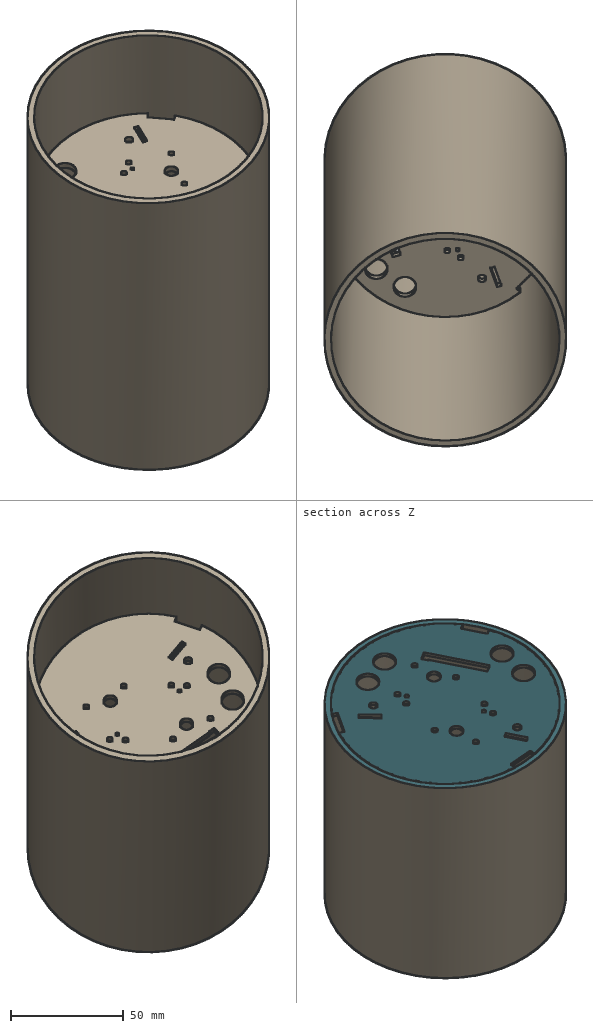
import cadquery as cq

TUBE_HEIGHT = 170.0
TUBE_DIAMETER = 108.0
BORE_DIAMETER = 102.0

PLATE_DEPTH = 49.6
PLATE_THICKNESS = 3.0
PLATE_TOP = TUBE_HEIGHT - PLATE_DEPTH
PLATE_BOTTOM = PLATE_TOP - PLATE_THICKNESS

NOTCH_COUNT = 3
NOTCH_WIDTH = 12.0
NOTCH_INNER_RADIUS = 48.1
FIRST_NOTCH_ANGLE = 30.0

PILOT_DIAMETER = 1.6
PILOT_OFFSET = 17.8
PILOT_CENTERS = [(-PILOT_OFFSET, 0), (PILOT_OFFSET, 0)]

SCREW_DIAMETER = 2.5
OUTER_SCREW_X = 22.1
INNER_SCREW_X = 16.8
INNER_SCREW_Y = 4.6
AXIS_SCREW_Y = 17.5
CORNER_SCREW_OFFSET = 19.7
SCREW_CENTERS = [
    (-OUTER_SCREW_X, 0),
    (OUTER_SCREW_X, 0),
    (-INNER_SCREW_X, -INNER_SCREW_Y),
    (INNER_SCREW_X, INNER_SCREW_Y),
    (0, -AXIS_SCREW_Y),
    (0, AXIS_SCREW_Y),
    (-CORNER_SCREW_OFFSET, CORNER_SCREW_OFFSET),
    (CORNER_SCREW_OFFSET, -CORNER_SCREW_OFFSET),
]

PEG_DIAMETER = 3.5
PEG_CENTERS = [(-35.0, 5.8), (30.6, 9.7)]

WIRE_DIAMETER = 6.0
WIRE_X = 9.5
WIRE_Y = 15.3
WIRE_CENTERS = [(-WIRE_X, WIRE_Y), (WIRE_X, -WIRE_Y)]

PORT_DIAMETER = 10.0
PORT_CENTERS = [(37.0, -4.0), (33.3, -18.5), (-28.4, -28.2), (-15.8, -37.5)]

SLOT_LENGTH = 10.0
SLOT_WIDTH = 2.0
LEFT_SLOT_CENTER = (-36.2, 11.9)
RIGHT_SLOT_CENTER = (30.1, 16.8)
RIGHT_SLOT_ANGLE = 15.0

WINDOW_LEFT = -12.4
WINDOW_RIGHT = 17.8
WINDOW_BOTTOM = -28.7
WINDOW_TOP = -25.0
WINDOW_STEP_LENGTH = 3.0
WINDOW_STEP_HEIGHT = 0.3


def make_tube():
    return (
        cq.Workplane("XY")
        .circle(TUBE_DIAMETER / 2)
        .circle(BORE_DIAMETER / 2)
        .extrude(TUBE_HEIGHT)
    )


def plate_sketch_plane():
    return cq.Workplane("XY", origin=(0, 0, PLATE_BOTTOM))


def hole_cutters(diameter, centers):
    return plate_sketch_plane().pushPoints(centers).circle(diameter / 2).extrude(PLATE_THICKNESS)


def slot_cutter(center, angle):
    return (
        plate_sketch_plane()
        .center(*center)
        .transformed(rotate=(0, 0, angle))
        .rect(SLOT_LENGTH, SLOT_WIDTH)
        .extrude(PLATE_THICKNESS)
    )


def notch_cutter(angle):
    reach = TUBE_DIAMETER / 2 - NOTCH_INNER_RADIUS
    return (
        plate_sketch_plane()
        .transformed(rotate=(0, 0, angle))
        .center(NOTCH_INNER_RADIUS + reach / 2, 0)
        .rect(reach, NOTCH_WIDTH)
        .extrude(PLATE_THICKNESS)
    )


def window_cutter():
    step_left = WINDOW_RIGHT - WINDOW_STEP_LENGTH
    step_top = WINDOW_TOP + WINDOW_STEP_HEIGHT
    outline = [
        (WINDOW_LEFT, WINDOW_BOTTOM),
        (WINDOW_RIGHT, WINDOW_BOTTOM),
        (WINDOW_RIGHT, step_top),
        (step_left, step_top),
        (step_left, WINDOW_TOP),
        (WINDOW_LEFT, WINDOW_TOP),
    ]
    return plate_sketch_plane().polyline(outline).close().extrude(PLATE_THICKNESS)


def make_plate():
    plate = plate_sketch_plane().circle(BORE_DIAMETER / 2).extrude(PLATE_THICKNESS)

    plate = plate.cut(hole_cutters(PILOT_DIAMETER, PILOT_CENTERS))
    plate = plate.cut(hole_cutters(SCREW_DIAMETER, SCREW_CENTERS))
    plate = plate.cut(hole_cutters(PEG_DIAMETER, PEG_CENTERS))
    plate = plate.cut(hole_cutters(WIRE_DIAMETER, WIRE_CENTERS))
    plate = plate.cut(hole_cutters(PORT_DIAMETER, PORT_CENTERS))

    plate = plate.cut(slot_cutter(LEFT_SLOT_CENTER, 0))
    plate = plate.cut(slot_cutter(RIGHT_SLOT_CENTER, RIGHT_SLOT_ANGLE))
    plate = plate.cut(window_cutter())

    for index in range(NOTCH_COUNT):
        plate = plate.cut(notch_cutter(FIRST_NOTCH_ANGLE + index * 360 / NOTCH_COUNT))
    return plate


tube = make_tube()
plate = make_plate()

result = cq.Compound.makeCompound([tube.val(), plate.val()])